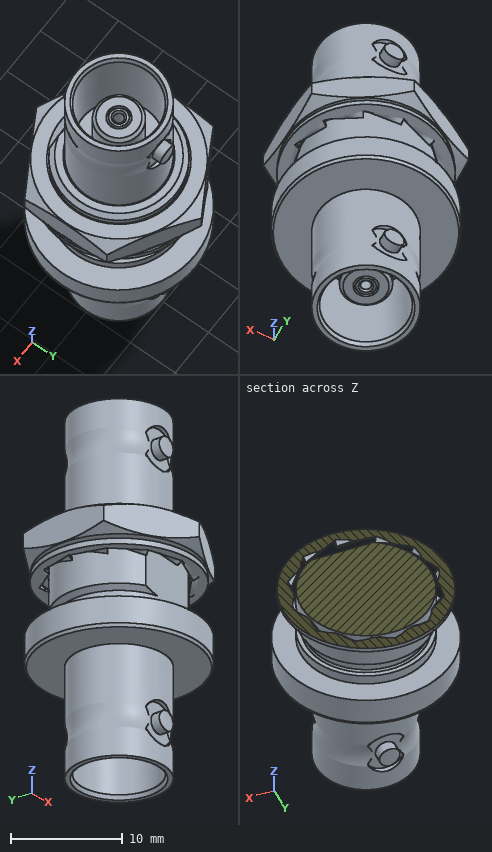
import cadquery as cq
import math

LENGTH = 35.6
MID_HEIGHT = LENGTH / 2

BARREL_R = 4.88
GROOVE_R = 4.65
GROOVE_WIDTH = 2.55
LUG_INSET = 4.13
LUG_R = 1.0
LUG_TIP_R = 5.52
SPOT_FLOOR = 4.5
SPOT_FLOOR_R = 2.05
SPOT_RIM_R = 2.17

BORE_FLOOR_R = 4.05
BORE_MOUTH_R = 4.15
BORE_RIM_R = 4.38
BORE_RIM_DEPTH = 0.43
BORE_DEPTH = 8.35
INSULATOR_R = 2.4
INSULATOR_INSET = 3.2
INSULATOR_CHAMFER = 0.32
CONTACT_GAP_R = 1.15
CONTACT_GAP_DEPTH = 0.55
CONTACT_R = 0.93
CONTACT_HOLE_R = 0.5
CONTACT_HOLE_RIM_R = 0.68
CONTACT_HOLE_DEPTH = 2.85

FLANGE_R = 8.5
FLANGE_BOTTOM = 11.15
FLANGE_TOP = 14.15
FLANGE_CHAMFER_WIDTH = 0.18
FLANGE_CHAMFER_HEIGHT = 0.32

THREAD_R = 6.3
THREAD_TOP = 24.42
THREAD_TIP_R = 5.75
THREAD_TIP_HEIGHT = 0.32
NECK_MOUTH_R = 5.02
THREAD_FLAT = 5.52
RELIEF_R = 5.7
RELIEF_LEDGE_R = 5.85
RELIEF_LEDGE_Z = 15.1
RELIEF_BOTTOM = 15.3
RELIEF_TOP = 16.05
RELIEF_SHOULDER_Z = 16.5

HEX_SIDES = 6
NUT_CORNER_R = 18.48 / 2
NUT_BOTTOM = 20.6
NUT_TOP = 23.65
NUT_FACE_R = 7.95
NUT_CHAMFER_ANGLE = 30.0
NUT_BORE_R = 5.87
NUT_BORE_RIM_R = 6.48

WASHER_R = 8.0
WASHER_BOTTOM = 19.58
WASHER_TOP = 20.15
TOOTH_COUNT = 12
TOOTH_ROOT_R = 7.23
TOOTH_TIP_R = 6.73
TOOTH_ANCHOR_R = 7.62
TOOTH_TIP_THICKNESS = 0.2
TOOTH_RISE = 0.43
TOOTH_DROP = 0.32


def cylinder(radius, bottom, top):
    return cq.Workplane("XY").workplane(offset=bottom).circle(radius).extrude(top - bottom)


def turned(points):
    """Solid of revolution about Z from (radius, height) points."""
    return cq.Workplane("XZ").polyline(points).close().revolve(360, (0, 0), (0, 1))


def barrel():
    """Upper half barrel with its shallow waist, from the middle to the rim."""
    lug_z = LENGTH - LUG_INSET
    waist_bottom = lug_z - GROOVE_WIDTH / 2
    waist_top = lug_z + GROOVE_WIDTH / 2
    profile = (
        cq.Workplane("XZ")
        .moveTo(0, MID_HEIGHT)
        .lineTo(BARREL_R, MID_HEIGHT)
        .lineTo(BARREL_R, waist_bottom)
        .threePointArc((GROOVE_R, lug_z), (BARREL_R, waist_top))
        .lineTo(BARREL_R, LENGTH)
        .lineTo(0, LENGTH)
        .close()
    )
    return profile.revolve(360, (0, 0), (0, 1))


def lug_spotface():
    """Tapered cutter for the flat seats around the lugs, at both -Y and +Y."""
    slope = (SPOT_RIM_R - SPOT_FLOOR_R) / (BARREL_R - SPOT_FLOOR)
    end_r = SPOT_FLOOR_R + slope * (LUG_TIP_R - SPOT_FLOOR)
    half = turned([(0, SPOT_FLOOR), (SPOT_FLOOR_R, SPOT_FLOOR), (end_r, LUG_TIP_R), (0, LUG_TIP_R)])
    both = half.union(half.mirror("XY"))
    return both.rotate((0, 0, 0), (1, 0, 0), 90).translate((0, 0, LENGTH - LUG_INSET))


def lugs():
    lug_z = LENGTH - LUG_INSET
    crossbar = cq.Workplane("XZ").center(0, lug_z).circle(LUG_R).extrude(LUG_TIP_R, both=True)
    return crossbar.intersect(cylinder(LUG_TIP_R, lug_z - LUG_R, lug_z + LUG_R))


def socket_cutter():
    """Bore of the coupling end, leaving the insulator and the contact standing in it."""
    floor = LENGTH - BORE_DEPTH
    face = LENGTH - INSULATOR_INSET
    rim = LENGTH - BORE_RIM_DEPTH
    bore = turned([
        (0, floor),
        (BORE_FLOOR_R, floor),
        (BORE_MOUTH_R, rim),
        (BORE_RIM_R, LENGTH),
        (0, LENGTH),
    ])
    insulator = cylinder(INSULATOR_R, floor, face).faces(">Z").chamfer(INSULATOR_CHAMFER)
    contact_gap = turned([
        (CONTACT_R, face),
        (CONTACT_GAP_R, face - CONTACT_GAP_DEPTH),
        (CONTACT_GAP_R, face),
    ])
    hole_rim = face - (CONTACT_HOLE_RIM_R - CONTACT_HOLE_R)
    hole_floor = face - CONTACT_HOLE_DEPTH
    contact_hole = turned([
        (0, hole_floor),
        (CONTACT_HOLE_R, hole_floor),
        (CONTACT_HOLE_R, hole_rim),
        (CONTACT_HOLE_RIM_R, face),
        (0, face),
    ])
    return bore.cut(insulator).union(contact_gap).union(contact_hole)


def coupling_end():
    """Upper coupling end; the lower one is its mirror image."""
    return barrel().cut(lug_spotface()).union(lugs()).cut(socket_cutter())


def flange():
    return turned([
        (0, FLANGE_BOTTOM),
        (FLANGE_R - FLANGE_CHAMFER_WIDTH, FLANGE_BOTTOM),
        (FLANGE_R, FLANGE_BOTTOM + FLANGE_CHAMFER_HEIGHT),
        (FLANGE_R, FLANGE_TOP),
        (0, FLANGE_TOP),
    ])


def threaded_neck():
    """Neck with a thread relief groove and a keying flat along its -Y side."""
    neck = turned([
        (0, FLANGE_TOP),
        (THREAD_R, FLANGE_TOP),
        (THREAD_R, RELIEF_LEDGE_Z),
        (RELIEF_LEDGE_R, RELIEF_LEDGE_Z),
        (RELIEF_R, RELIEF_BOTTOM),
        (RELIEF_R, RELIEF_TOP),
        (THREAD_R, RELIEF_SHOULDER_Z),
        (THREAD_R, THREAD_TOP - THREAD_TIP_HEIGHT),
        (THREAD_TIP_R, THREAD_TOP),
        (NECK_MOUTH_R, THREAD_TOP),
        (BARREL_R, THREAD_TOP - (NECK_MOUTH_R - BARREL_R)),
        (0, THREAD_TOP - (NECK_MOUTH_R - BARREL_R)),
    ])
    beyond_flat = cq.Workplane("XY").workplane(offset=FLANGE_TOP).center(0, -THREAD_FLAT - THREAD_R / 2)
    return neck.cut(beyond_flat.rect(2 * THREAD_R, THREAD_R).extrude(THREAD_TOP - FLANGE_TOP))


def hex_nut():
    """Hexagon with corners on +Y and -Y, chamfered corners and a countersunk bore."""
    blank = cq.Workplane("XY").workplane(offset=NUT_BOTTOM).polygon(HEX_SIDES, 2 * NUT_CORNER_R)
    blank = blank.extrude(NUT_TOP - NUT_BOTTOM).rotate((0, 0, 0), (0, 0, 1), 180 / HEX_SIDES)
    corner_drop = (NUT_CORNER_R - NUT_FACE_R) * math.tan(math.radians(NUT_CHAMFER_ANGLE))
    bore_drop = NUT_BORE_RIM_R - NUT_BORE_R
    envelope = turned([
        (NUT_BORE_RIM_R, NUT_BOTTOM),
        (NUT_FACE_R, NUT_BOTTOM),
        (NUT_CORNER_R, NUT_BOTTOM + corner_drop),
        (NUT_CORNER_R, NUT_TOP - corner_drop),
        (NUT_FACE_R, NUT_TOP),
        (NUT_BORE_RIM_R, NUT_TOP),
        (NUT_BORE_R, NUT_TOP - bore_drop),
        (NUT_BORE_R, NUT_BOTTOM + bore_drop),
    ])
    return blank.intersect(envelope)


def make_connector():
    upper_end = coupling_end()
    lower_end = upper_end.mirror("XY", (0, 0, MID_HEIGHT))
    body = upper_end.union(lower_end)
    return body.union(flange()).union(threaded_neck()).union(hex_nut())


def tooth_section(angle, tip_bottom):
    """Radial section of a tooth, thinning from the ring to its tip."""
    turn = math.radians(angle)
    corners = [
        (TOOTH_ANCHOR_R, WASHER_BOTTOM),
        (TOOTH_ANCHOR_R, WASHER_TOP),
        (TOOTH_ROOT_R, WASHER_TOP),
        (TOOTH_TIP_R, tip_bottom + TOOTH_TIP_THICKNESS),
        (TOOTH_TIP_R, tip_bottom),
        (TOOTH_ROOT_R, WASHER_BOTTOM),
    ]
    points = [cq.Vector(r * math.cos(turn), r * math.sin(turn), z) for r, z in corners]
    return cq.Wire.makePolygon(points, close=True)


def make_washer():
    """Flat ring with twisted inner teeth: each rises at one edge and drops at the other."""
    washer = cylinder(WASHER_R, WASHER_BOTTOM, WASHER_TOP)
    washer = washer.cut(cylinder(TOOTH_ROOT_R, WASHER_BOTTOM, WASHER_TOP))
    pitch = 360 / TOOTH_COUNT
    raised_tip = WASHER_TOP + TOOTH_RISE - TOOTH_TIP_THICKNESS
    lowered_tip = WASHER_BOTTOM - TOOTH_DROP
    for i in range(TOOTH_COUNT):
        raised_edge = tooth_section(i * pitch, raised_tip)
        lowered_edge = tooth_section((i + 1) * pitch, lowered_tip)
        tooth = cq.occ_impl.shapes.loft(raised_edge, lowered_edge, cap=True, ruled=True, compat=False)
        washer = washer.union(cq.Workplane(tooth))
    return washer


connector = make_connector()
lock_washer = make_washer()

result = cq.Compound.makeCompound([*connector.solids().vals(), *lock_washer.solids().vals()])